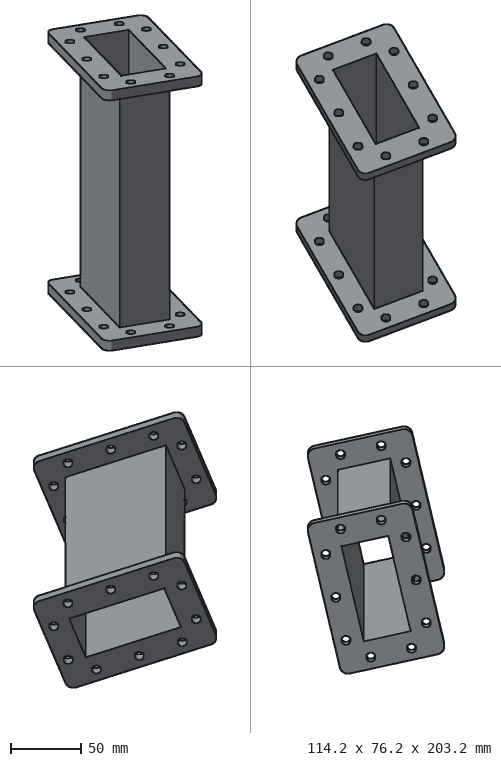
import cadquery as cq

total_height = 203.2
flange_length = 114.2
flange_width = 76.2
flange_thickness = 8.0
corner_radius = 6.0

bore_length = 72.1
bore_width = 34.1
wall = 2.0
tube_length = bore_length + 2 * wall
tube_width = bore_width + 2 * wall

hole_diameter = 6.5
long_side_pitch = 32.5
long_side_offset = 29.3
short_side_pitch = 29.7
short_side_offset = 48.5


def bolt_points():
    """Three holes along each long side and two along each short side."""
    points = []
    for side in (-1, 1):
        for step in (-1, 0, 1):
            points.append((step * long_side_pitch, side * long_side_offset))
        for step in (-0.5, 0.5):
            points.append((side * short_side_offset, step * short_side_pitch))
    return points


def flange(base_z):
    """Drilled plate with rounded corners, its underside at base_z."""
    plate = (
        cq.Workplane("XY", origin=(0, 0, base_z))
        .rect(flange_length, flange_width)
        .extrude(flange_thickness)
        .edges("|Z")
        .fillet(corner_radius)
    )
    drills = (
        cq.Workplane("XY", origin=(0, 0, base_z))
        .pushPoints(bolt_points())
        .circle(hole_diameter / 2)
        .extrude(flange_thickness)
    )
    return plate.cut(drills)


tube = cq.Workplane("XY").rect(tube_length, tube_width).extrude(total_height)
bore = cq.Workplane("XY").rect(bore_length, bore_width).extrude(total_height)

result = (
    tube
    .union(flange(0))
    .union(flange(total_height - flange_thickness))
    .cut(bore)
)